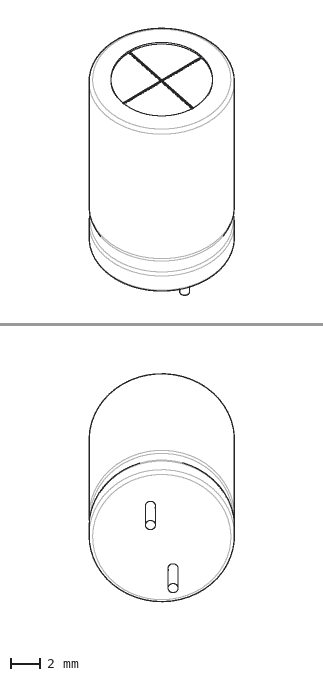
import cadquery as cq
import math

total_height = 19.2
can_radius = 5.002
can_bottom = 3.2
edge_round = 0.25

crimp_center = 5.72
crimp_half_height = 0.86
waist_half_height = 0.54
crimp_depth = 0.21

recess_radius = 3.5
recess_depth = 0.15
score_width = 0.12
score_depth = 0.1

lead_radius = 0.35
lead_offset = 2.5
short_lead_tip = 0.1


def make_can():
    """Solid of revolution with a smooth crimp of tangent arcs."""
    crimp_angle = 2 * math.atan(crimp_depth / crimp_half_height)
    shoulder_height = crimp_half_height - waist_half_height
    shoulder_radius = can_radius - shoulder_height * math.tan(crimp_angle / 2)
    waist_radius = can_radius - crimp_depth
    lower_edge = crimp_center - crimp_half_height
    upper_edge = crimp_center + crimp_half_height
    lower_shoulder = (shoulder_radius, crimp_center - waist_half_height)
    upper_shoulder = (shoulder_radius, crimp_center + waist_half_height)
    profile = (
        cq.Workplane("XZ")
        .moveTo(0, can_bottom)
        .lineTo(can_radius, can_bottom)
        .lineTo(can_radius, lower_edge)
        .tangentArcPoint(lower_shoulder, relative=False)
        .threePointArc((waist_radius, crimp_center), upper_shoulder)
        .tangentArcPoint((can_radius, upper_edge), relative=False)
        .lineTo(can_radius, total_height)
        .lineTo(0, total_height)
        .close()
    )
    can = profile.revolve(360, (0, 0, 0), (0, 1, 0))
    return can.faces("<Z or >Z").edges().fillet(edge_round)


def make_top_cut():
    """Round recess with two crossed score grooves in its floor."""
    floor = total_height - recess_depth
    recess = cq.Workplane("XY", origin=(0, 0, floor)).circle(recess_radius).extrude(recess_depth)
    score_plane = cq.Workplane("XY", origin=(0, 0, floor - score_depth))
    cross = score_plane.rect(2 * recess_radius, score_width).extrude(score_depth)
    cross = cross.union(score_plane.rect(score_width, 2 * recess_radius).extrude(score_depth))
    score = cross.intersect(score_plane.circle(recess_radius).extrude(score_depth))
    return recess.union(score)


def make_lead(x, tip):
    """Round lead from its tip up to the underside of the can."""
    return cq.Workplane("XY", origin=(x, 0, tip)).circle(lead_radius).extrude(can_bottom - tip)


result = make_can().cut(make_top_cut())
for lead_x, lead_tip in ((-lead_offset, 0), (lead_offset, short_lead_tip)):
    result = result.union(make_lead(lead_x, lead_tip))